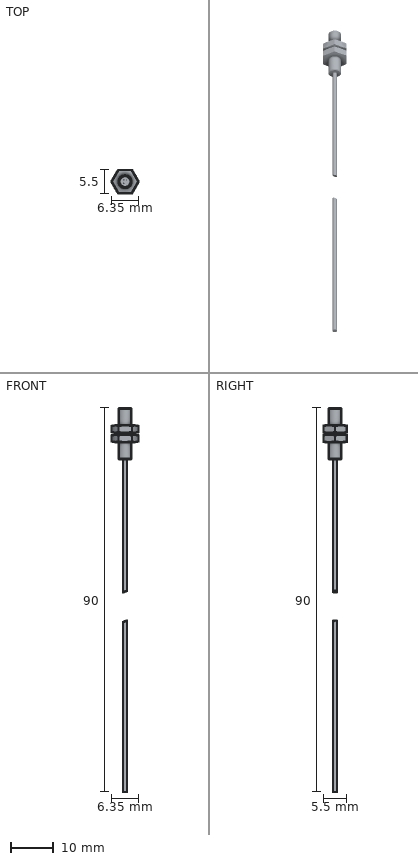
import cadquery as cq
import math

total_length = 90.0

barrel_diameter = 3.0
barrel_length = 12.0
barrel_chamfer = 0.2

nut_across_flats = 5.5
nut_across_corners = nut_across_flats / math.cos(math.radians(30))
nut_thickness = 1.8
nut_chamfer_angle = 10.5
nut_face_diameter = 4.5
nut_gap = 0.4
nut_stack_top = -4.0

cable_diameter = 1.0
cable_gap_top = -43.2
cable_gap_bottom = -49.75
cut_rise = 0.4

cable_radius = cable_diameter / 2
barrel_bottom = -barrel_length
upper_nut_bottom = nut_stack_top - nut_thickness
lower_nut_bottom = upper_nut_bottom - nut_gap - nut_thickness


def make_cylinder(diameter, bottom, height):
    """Cylinder on the Z axis standing on the given height."""
    return cq.Workplane("XY").workplane(offset=bottom).circle(diameter / 2).extrude(height)


def make_barrel():
    """Cylindrical barrel, bevelled at both ends."""
    barrel = make_cylinder(barrel_diameter, barrel_bottom, barrel_length)
    return barrel.faces("<Z or >Z").chamfer(barrel_chamfer)


def make_nut(bottom):
    """Hexagon nut with corners on the X axis, its corners turned down to a cone on both faces."""
    face_radius = nut_face_diameter / 2
    corner_radius = nut_across_corners / 2
    drop = (corner_radius - face_radius) * math.tan(math.radians(nut_chamfer_angle))
    hexagon = cq.Workplane("XY").polygon(6, nut_across_corners).extrude(nut_thickness)
    turned_blank = (
        cq.Workplane("XZ")
        .moveTo(0, 0)
        .lineTo(face_radius, 0)
        .lineTo(corner_radius, drop)
        .lineTo(corner_radius, nut_thickness - drop)
        .lineTo(face_radius, nut_thickness)
        .lineTo(0, nut_thickness)
        .close()
        .revolve(360, (0, 0, 0), (0, 1, 0))
    )
    return hexagon.intersect(turned_blank).translate((0, 0, bottom))


def make_cable(top_left, top_right, bottom_left, bottom_right):
    """Round cable whose ends are cut straight or slanted, given by the end heights at -X and +X."""
    outline = (
        cq.Workplane("XZ")
        .moveTo(-cable_radius, bottom_left)
        .lineTo(cable_radius, bottom_right)
        .lineTo(cable_radius, top_right)
        .lineTo(-cable_radius, top_left)
        .close()
        .extrude(cable_radius, both=True)
    )
    return outline.intersect(make_cylinder(cable_diameter, -total_length, total_length))


sensor = make_barrel()
for nut_bottom in (upper_nut_bottom, lower_nut_bottom):
    sensor = sensor.union(make_nut(nut_bottom))
sensor = sensor.union(
    make_cable(barrel_bottom, barrel_bottom, cable_gap_top, cable_gap_top + cut_rise)
)

cable_end = make_cable(
    cable_gap_bottom - cut_rise, cable_gap_bottom, -total_length, -total_length
)

result = cq.Compound.makeCompound([sensor.val(), cable_end.val()])